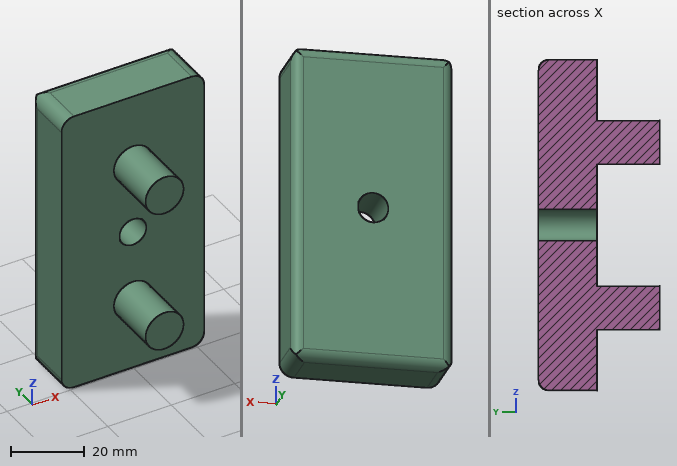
import cadquery as cq

plate_height = 90.0
plate_width = plate_height / 2
plate_thickness = 16.0
corner_radius = 4.0
back_edge_radius = 3.0

total_depth = 33.0
pin_length = total_depth - plate_thickness
pin_diameter = 12.0
pin_spacing = plate_height / 2
hole_diameter = 8.5


def make_plate():
    """Plate with its front face at Y = 0, rounded corners and straight rounded back edges.

    The back edges are rounded on a sharp-cornered block, so their rounds run
    straight through to the corners and meet the corner rounds at a crease.
    """
    block = cq.Workplane("XZ").rect(plate_width, plate_height).extrude(-plate_thickness)
    back_rounded = block.faces(">Y").edges().fillet(back_edge_radius)
    corner_rounded = block.edges("|Y").fillet(corner_radius)
    return back_rounded.intersect(corner_rounded)


def make_pins():
    """Two round pins standing on the front face, toward -Y."""
    centers = [(0, -pin_spacing / 2), (0, pin_spacing / 2)]
    return cq.Workplane("XZ").pushPoints(centers).circle(pin_diameter / 2).extrude(pin_length)


def make_hole():
    """Cutter for the central hole through the full plate thickness."""
    return cq.Workplane("XZ").circle(hole_diameter / 2).extrude(-plate_thickness)


result = make_plate().union(make_pins()).cut(make_hole())